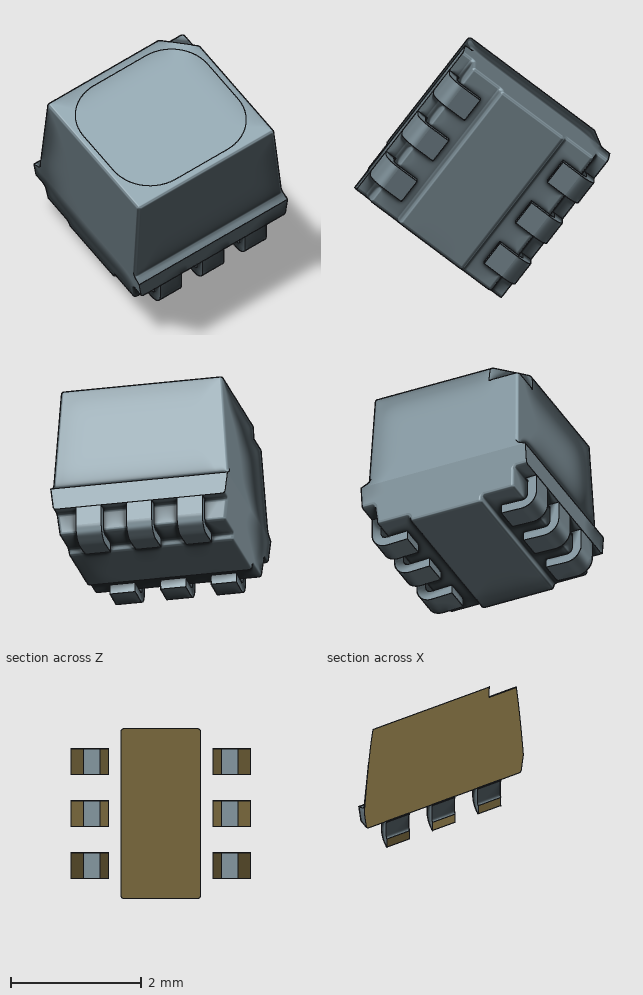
import cadquery as cq
import math

total_height = 2.59
pad_bottom = 0.095
step_bottom = 0.202
shoulder_bottom = 0.55
parting_level = 0.893

length_x = 2.8
width_y = 2.8

upper_draft_x = math.radians(1.8)
upper_draft_y = math.radians(4.0)
lower_draft_x = math.radians(4.0)
lower_draft_y = math.radians(7.0)
ledge_slope = math.radians(26.0)
top_half_x = 1.23
step_half_x = 1.193
pad_half_x = 0.625
pad_draft = math.radians(10.0)
upper_fillet = 0.05
lower_fillet = 0.05

notch_depth = 0.25
notch_offset = 2.03

lens_x = 2.173
lens_y = 2.345
lens_radius = 0.685
lens_depth = notch_depth

lead_count = 3
lead_pitch = 0.8
lead_width = 0.4
lead_thickness = 0.15
lead_bend_radius = 0.25
foot_length = 0.6
foot_tilt = math.radians(2.0)
lead_flare = 0.073

half_x = length_x / 2
half_y = width_y / 2


def ledge_corner():
    """Half width and height where the sloped ledge meets the drafted upper wall."""
    slope = math.tan(ledge_slope)
    draft = math.tan(upper_draft_x)
    wall_at_parting = top_half_x + (total_height - parting_level) * draft
    rise = (half_x - wall_at_parting) * slope / (1 - slope * draft)
    return half_x - rise / slope, parting_level + rise


def end_profile():
    """Housing outline in XZ: tapered top, ledges, shoulders, step and central pad."""
    ledge_x, ledge_z = ledge_corner()
    step_low_x = step_half_x - (shoulder_bottom - step_bottom) * math.tan(lower_draft_x)
    pad_low_x = pad_half_x - (step_bottom - pad_bottom) * math.tan(pad_draft)
    right_side = [
        (pad_low_x, pad_bottom),
        (pad_half_x, step_bottom),
        (step_low_x, step_bottom),
        (step_half_x, shoulder_bottom),
        (half_x, shoulder_bottom),
        (half_x, parting_level),
        (ledge_x, ledge_z),
        (top_half_x, total_height),
    ]
    left_side = [(-x, z) for x, z in reversed(right_side)]
    return cq.Workplane("XZ").polyline(right_side + left_side).close().extrude(half_y, both=True)


def side_profile():
    """Housing outline in YZ: drafted up and down from the parting level."""
    top_half_y = half_y - (total_height - parting_level) * math.tan(upper_draft_y)
    bottom_half_y = half_y - (parting_level - pad_bottom) * math.tan(lower_draft_y)
    right_side = [
        (bottom_half_y, pad_bottom),
        (half_y, parting_level),
        (top_half_y, total_height),
    ]
    left_side = [(-y, z) for y, z in reversed(right_side)]
    return cq.Workplane("YZ").polyline(right_side + left_side).close().extrude(half_x, both=True)


def make_lens():
    return (
        cq.Workplane("XY", origin=(0, 0, total_height - lens_depth))
        .rect(lens_x, lens_y)
        .extrude(lens_depth)
        .edges("|Z")
        .fillet(lens_radius)
    )


def corner_notch():
    """Triangular prism that cuts the -X +Y corner at 45 degrees."""
    return (
        cq.Workplane("XY", origin=(0, 0, total_height - notch_depth))
        .polyline([(-half_x, half_y), (-half_x, notch_offset - half_x), (half_y - notch_offset, half_y)])
        .close()
        .extrude(notch_depth)
    )


def round_edges(body, radius, wanted):
    """Fillet the edges of body whose centre point satisfies the wanted test."""
    edges = body.edges().filter(lambda edge: wanted(edge.Center()))
    return body.newObject(edges.vals()).fillet(radius)


def make_housing(lens):
    body = end_profile().intersect(side_profile())
    ledge_z = ledge_corner()[1]
    gap = 0.003
    body = round_edges(body, upper_fillet, lambda p: p.z > ledge_z + gap)
    body = round_edges(body, upper_fillet, lambda p: abs(p.z - ledge_z) < gap and abs(p.y) < gap)
    body = round_edges(
        body, lower_fillet, lambda p: p.z < shoulder_bottom + gap and abs(p.x) < half_x - gap
    )
    return body.cut(corner_notch()).cut(lens)


def lead_profile():
    """J-shaped strip in XZ: it hangs from the shoulder and its foot turns inward, rising slightly.

    A small round flares its inner face where it meets the shoulder.
    """
    outer = lead_bend_radius
    inner = lead_bend_radius - lead_thickness
    centre_x = outer - half_x
    centre_z = outer
    inner_x = lead_thickness - half_x
    end_x = foot_length - half_x
    last_angle = 1.5 * math.pi + foot_tilt
    mid_angle = (math.pi + last_angle) / 2

    def on_bend(radius, angle):
        return centre_x + radius * math.cos(angle), centre_z + radius * math.sin(angle)

    def on_foot(radius):
        start_x, start_z = on_bend(radius, last_angle)
        return end_x, start_z + (end_x - start_x) * math.tan(foot_tilt)

    return (
        cq.Workplane("XZ")
        .moveTo(-half_x, shoulder_bottom)
        .lineTo(-half_x, centre_z)
        .threePointArc(on_bend(outer, mid_angle), on_bend(outer, last_angle))
        .lineTo(*on_foot(outer))
        .lineTo(*on_foot(inner))
        .lineTo(*on_bend(inner, last_angle))
        .threePointArc(on_bend(inner, mid_angle), on_bend(inner, math.pi))
        .lineTo(inner_x, shoulder_bottom - lead_flare)
        .tangentArcPoint((inner_x + lead_flare, shoulder_bottom), relative=False)
        .close()
    )


def make_lead(side, y, housing):
    """One lead centred at y, trimmed to fit the housing: side 0 is the -X row, side 1 the +X row."""
    lead = lead_profile().extrude(lead_width / 2, both=True)
    return lead.rotate((0, 0, 0), (0, 0, 1), 180 * side).translate((0, y, 0)).cut(housing)


lens = make_lens()
housing = make_housing(lens)
leads = []
for side in range(2):
    for row in range(lead_count):
        lead_y = (row - (lead_count - 1) / 2) * lead_pitch
        leads.append(make_lead(side, lead_y, housing).solids().val())

result = cq.Compound.makeCompound([housing.solids().val(), lens.val(), *leads])